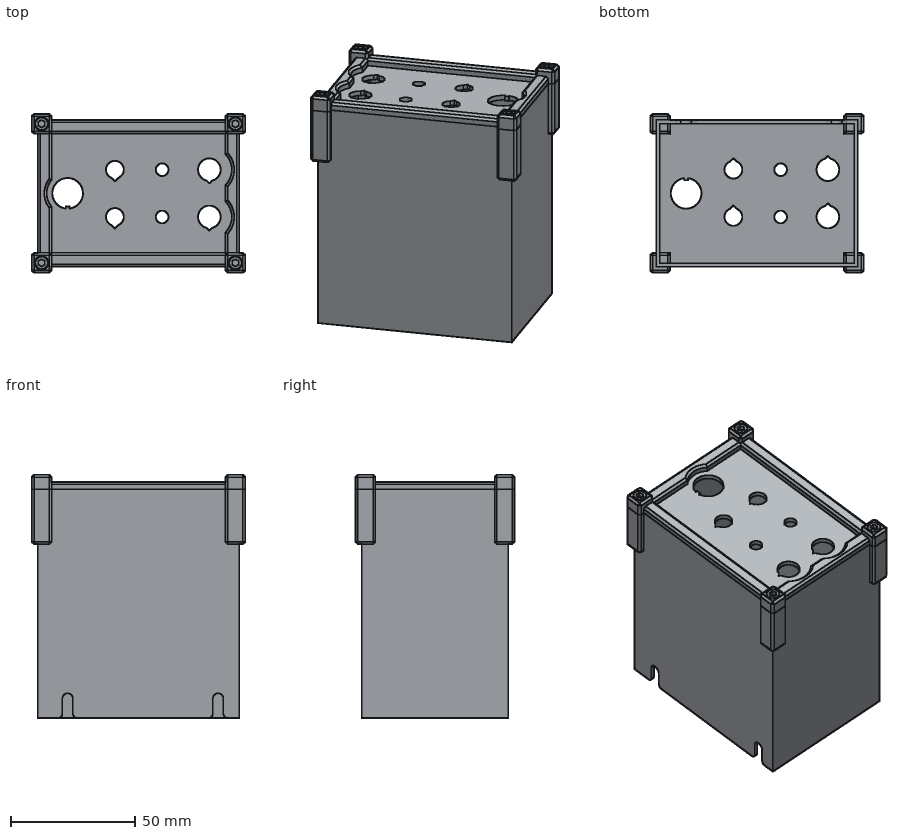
import cadquery as cq
import math

length_x = 86.0
width_y = 64.0
height = 98.0

post_size = 8.0
post_height = 28.0
post_bottom = height - post_height
post_overhang = 2.45
edge_chamfer = 1.0
post_centers = [
    (sx * (length_x - post_size) / 2, sy * (width_y - post_size) / 2)
    for sx in (-1, 1)
    for sy in (-1, 1)
]

case_x = length_x - 2 * post_overhang
case_y = width_y - 2 * post_overhang
wall = 1.5
cavity_x = case_x - 2 * wall
cavity_y = case_y - 2 * wall

seam_z = height - 6.0
frame_thickness = 3.0
window_x = length_x - 2 * post_size
window_y = width_y - 2 * post_size

panel_thickness = 2.0
pitch = 19.0
socket_x = -1.5 * pitch
switch_x = -0.5 * pitch
lamp_x = 0.5 * pitch
jack_x = 1.5 * pitch
row_ys = (-0.5 * pitch, 0.5 * pitch)
socket_diameter = 12.25
socket_key_width = 1.7
socket_key_height = 0.9
switch_diameter = 7.1
switch_tip = 4.6
lamp_diameter = 5.0
jack_diameter = 9.0
jack_tip = 5.5

socket_relief_radius = 8.4
jack_relief_radius = 9.0

slot_xs = (-28.5, 32.0)
slot_width = 4.2
slot_height = 10.0
slot_mouth_radius = 1.9

head_diameter = 5.0
head_bore_diameter = 5.5
head_height = 3.0
head_seat_z = height - head_height
shank_diameter = 2.4
shank_length = 15.7
shank_end_z = head_seat_z - shank_length
hex_across_corners = 3.0
hex_depth = 2.0
hex_turn = 30


def block(size_x, size_y, z_bottom, z_top):
    """Box centred on the Z axis between two heights."""
    return cq.Workplane("XY").workplane(offset=z_bottom).rect(size_x, size_y).extrude(z_top - z_bottom)


def cylinder(x, y, diameter, z_bottom, z_top):
    """Vertical cylinder between two heights."""
    return cq.Workplane("XY", origin=(x, y, z_bottom)).circle(diameter / 2).extrude(z_top - z_bottom)


def corner_post(x, y):
    """Full-height post with every edge chamfered; the seam splits it between case and lid."""
    post = block(post_size, post_size, post_bottom, height).edges().chamfer(edge_chamfer)
    return post.translate((x, y, 0))


def screw_shape(x, y, head_size):
    """Head and shank envelope, used for the screw and for the bore that takes it."""
    shank = cylinder(x, y, shank_diameter, shank_end_z, head_seat_z)
    return shank.union(cylinder(x, y, head_size, head_seat_z, height))


def front_slot(x):
    """Round-ended slot cutter for the front wall, with a rounded mouth at the bottom edge."""
    half = slot_width / 2
    r = slot_mouth_radius
    arc_mid = r * (1 - math.sqrt(0.5))
    return (
        cq.Workplane("XZ", origin=(x, -case_y / 2 + wall, 0))
        .moveTo(-half - r, 0)
        .threePointArc((-half - arc_mid, arc_mid), (-half, r))
        .lineTo(-half, slot_height - half)
        .threePointArc((0, slot_height), (half, slot_height - half))
        .lineTo(half, r)
        .threePointArc((half + arc_mid, arc_mid), (half + r, 0))
        .close()
        .extrude(wall)
    )


def make_case():
    """Open-bottomed box with the lower part of the four posts."""
    case = block(case_x, case_y, 0, seam_z).cut(block(cavity_x, cavity_y, 0, seam_z))
    below_seam = block(length_x, width_y, 0, seam_z)
    for x, y in post_centers:
        case = case.union(corner_post(x, y).intersect(below_seam))
    for x, y in post_centers:
        case = case.cut(screw_shape(x, y, head_bore_diameter))
    for x in slot_xs:
        case = case.cut(front_slot(x))
    return case


def make_lid():
    """Frame with a relieved, bevelled window and the upper part of the four posts."""
    frame_top = seam_z + frame_thickness
    frame = block(case_x, case_y, seam_z, frame_top).cut(block(window_x, window_y, seam_z, frame_top))
    frame = frame.cut(cylinder(socket_x, 0, 2 * socket_relief_radius, seam_z, frame_top))
    for y in row_ys:
        frame = frame.cut(cylinder(jack_x, y, 2 * jack_relief_radius, seam_z, frame_top))
    lid = frame.faces(">Z").edges().chamfer(edge_chamfer)
    above_seam = block(length_x, width_y, seam_z, height)
    for x, y in post_centers:
        lid = lid.union(corner_post(x, y).intersect(above_seam))
    for x, y in post_centers:
        lid = lid.cut(screw_shape(x, y, head_bore_diameter))
    return lid


def keyed_hole(x, y, diameter, tip, z_bottom, z_top):
    """Round hole cutter with a right-angled notch whose tip points toward -Y."""
    notch = (
        cq.Workplane("XY", origin=(x, y, z_bottom))
        .polyline([(0, -tip), (tip / 2, -tip / 2), (0, 0), (-tip / 2, -tip / 2)])
        .close()
        .extrude(z_top - z_bottom)
    )
    return cylinder(x, y, diameter, z_bottom, z_top).union(notch)


def socket_hole(z_bottom, z_top):
    """Large round hole cutter that leaves a small key standing at its -Y side."""
    key_top = -socket_diameter / 2 + socket_key_height
    key = block(socket_key_width, socket_diameter, z_bottom, z_top)
    key = key.translate((socket_x, key_top - socket_diameter / 2, 0))
    return cylinder(socket_x, 0, socket_diameter, z_bottom, z_top).cut(key)


def make_panel():
    """Plate flush with the seam, notched around the posts and held under the lid frame."""
    bottom = seam_z - panel_thickness
    panel = block(cavity_x, cavity_y, bottom, seam_z)
    for x, y in post_centers:
        panel = panel.cut(block(post_size, post_size, bottom, seam_z).translate((x, y, 0)))
    panel = panel.cut(socket_hole(bottom, seam_z))
    for y in row_ys:
        panel = panel.cut(keyed_hole(switch_x, y, switch_diameter, switch_tip, bottom, seam_z))
        panel = panel.cut(cylinder(lamp_x, y, lamp_diameter, bottom, seam_z))
        panel = panel.cut(keyed_hole(jack_x, y, jack_diameter, jack_tip, bottom, seam_z))
    return panel


def make_screw(x, y):
    """Cap screw flush with the post top, with a hexagon socket whose flats face along X."""
    hexagon = (
        cq.Workplane("XY")
        .polygon(6, hex_across_corners)
        .extrude(hex_depth)
        .rotate((0, 0, 0), (0, 0, 1), hex_turn)
        .translate((x, y, height - hex_depth))
    )
    return screw_shape(x, y, head_diameter).cut(hexagon)


case = make_case()
lid = make_lid()
panel = make_panel()
screws = [make_screw(x, y) for x, y in post_centers]

result = cq.Compound.makeCompound(
    [case.val(), lid.val(), panel.val(), *[screw.val() for screw in screws]]
)